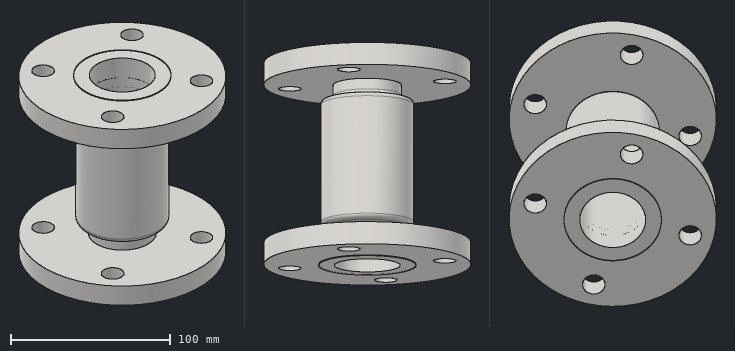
import cadquery as cq

length = 130.0
flange_diameter = 130.0

raised_face_diameter = 61.1
raised_face_height = 0.5
flange_thickness = 14.2

bolt_circle_diameter = 100.0
bolt_hole_diameter = 14.0
bolt_hole_count = 4
first_bolt_angle = 45.0

bore_diameter = 41.2
neck_diameter = 42.8
neck_length = 6.8
barrel_diameter = 58.5
shoulder_radius = 3.0

flange_inner_z = length / 2 - raised_face_height - flange_thickness
shoulder_z = flange_inner_z - neck_length - shoulder_radius


def disc(diameter, bottom_z, height):
    """Solid cylinder on the Z axis."""
    return cq.Workplane("XY").workplane(offset=bottom_z).circle(diameter / 2).extrude(height)


def make_barrel():
    """Thick barrel that steps in to a thin neck at both ends through rounded S-shaped shoulders."""
    neck_radius = neck_diameter / 2
    barrel_radius = barrel_diameter / 2
    crest_radius = barrel_radius - shoulder_radius
    root_radius = neck_radius + shoulder_radius
    barrel_end_z = shoulder_z - shoulder_radius
    neck_start_z = shoulder_z + shoulder_radius
    profile = (
        cq.Workplane("XZ")
        .moveTo(0, -flange_inner_z)
        .lineTo(neck_radius, -flange_inner_z)
        .lineTo(neck_radius, -neck_start_z)
        .tangentArcPoint((root_radius, -shoulder_z), relative=False)
        .lineTo(crest_radius, -shoulder_z)
        .tangentArcPoint((barrel_radius, -barrel_end_z), relative=False)
        .lineTo(barrel_radius, barrel_end_z)
        .tangentArcPoint((crest_radius, shoulder_z), relative=False)
        .lineTo(root_radius, shoulder_z)
        .tangentArcPoint((neck_radius, neck_start_z), relative=False)
        .lineTo(neck_radius, flange_inner_z)
        .lineTo(0, flange_inner_z)
        .close()
    )
    return profile.revolve(360, (0, 0), (0, 1))


def make_top_flange():
    """Flange disc with its raised face and bolt holes."""
    plate = disc(flange_diameter, flange_inner_z, flange_thickness)
    raised_face = disc(raised_face_diameter, flange_inner_z + flange_thickness, raised_face_height)
    bolt_holes = (
        cq.Workplane("XY")
        .workplane(offset=flange_inner_z)
        .polarArray(bolt_circle_diameter / 2, first_bolt_angle, 360, bolt_hole_count)
        .circle(bolt_hole_diameter / 2)
        .extrude(flange_thickness)
    )
    return plate.union(raised_face).cut(bolt_holes)


top_flange = make_top_flange()
bottom_flange = top_flange.mirror("XY")
bore = disc(bore_diameter, -length / 2, length)

result = make_barrel().union(top_flange).union(bottom_flange).cut(bore)